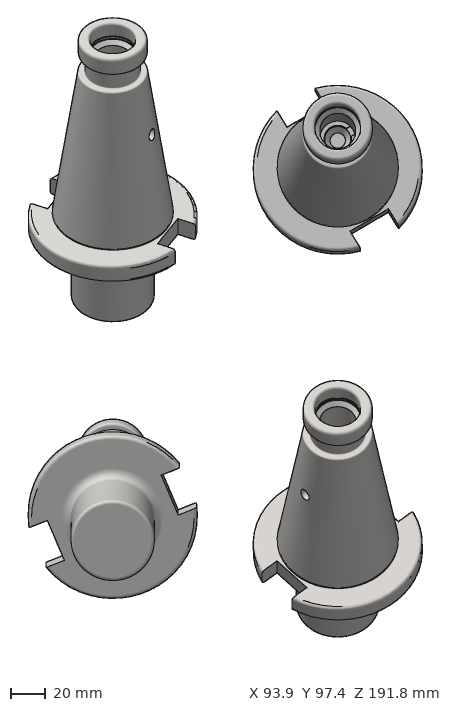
import cadquery as cq

total_height = 191.8
flange_bottom = 50.0
flange_top = 61.8
taper_bottom = 63.7
taper_top = 167.5
collar_bottom = 180.3

nose_radius = 24.0
flange_radius = 48.7
taper_big_radius = 35.0
taper_small_radius = 20.1
neck_radius = 16.1
collar_radius = 20.0

relief_radius = 34.3
relief_height = 1.3

edge_round = 2.0
collar_lower_round = 1.5
nose_root_round = 5.4
taper_top_round = 1.0
neck_root_round = 0.5
relief_root_round = 0.5

drive_slot_width = 25.7
drive_slot_floor = 35.5

side_hole_diameter = 7.0
side_hole_height = 129.7
side_hole_depth = 9.5

bore_radius = 13.2
bore_mouth_round = 1.5
bore_depth = 9.5
undercut_radius = 13.8
undercut_depth = 11.5
threaded_radius = 10.4
threaded_start_depth = 13.8
threaded_depth = 38.4

recess_mouth_radius = 7.9
recess_mouth_depth = 0.5
recess_wall_radius = 7.5
recess_wall_depth = 1.5
recess_middle_radius = 6.3
recess_floor_radius = 4.5
recess_depth = 5.8
screw_slot_width = 5.4
screw_slot_depth = 1.0


def revolve_profile(profile):
    """Close a half profile drawn in the YZ plane and spin it about Z."""
    return profile.close().revolve(360, (0, 0, 0), (0, 1, 0))


def outer_body():
    """Nose, flange, taper, neck and collar as one turned solid."""
    profile = (
        cq.Workplane("YZ")
        .lineTo(nose_radius, 0)
        .lineTo(nose_radius, flange_bottom)
        .lineTo(flange_radius, flange_bottom)
        .lineTo(flange_radius, flange_top)
        .lineTo(relief_radius, flange_top)
        .lineTo(relief_radius, flange_top + relief_height)
        .lineTo(taper_big_radius, flange_top + relief_height)
        .lineTo(taper_big_radius, taper_bottom)
        .lineTo(taper_small_radius, taper_top)
        .lineTo(neck_radius, taper_top)
        .lineTo(neck_radius, collar_bottom)
        .lineTo(collar_radius, collar_bottom)
        .lineTo(collar_radius, total_height)
        .lineTo(0, total_height)
    )
    return revolve_profile(profile)


def round_circle(body, radius, height, rounding):
    """Round the circular edge of the given radius that lies at the given height."""
    tolerance = 0.02
    edges = [
        edge
        for edge in body.edges("%CIRCLE").vals()
        if abs(edge.Center().z - height) < tolerance and abs(edge.radius() - radius) < tolerance
    ]
    return body.newObject(edges).fillet(rounding)


def round_outer_edges(body):
    for radius, height, rounding in (
        (nose_radius, 0, edge_round),
        (nose_radius, flange_bottom, nose_root_round),
        (flange_radius, flange_bottom, edge_round),
        (flange_radius, flange_top, edge_round),
        (relief_radius, flange_top, relief_root_round),
        (taper_small_radius, taper_top, taper_top_round),
        (neck_radius, taper_top, neck_root_round),
        (neck_radius, collar_bottom, neck_root_round),
        (collar_radius, collar_bottom, collar_lower_round),
        (collar_radius, total_height, edge_round),
    ):
        body = round_circle(body, radius, height, rounding)
    return body


def drive_slots():
    """Two blocks that notch the full flange thickness on the +X and -X sides."""
    slot_length = flange_radius - drive_slot_floor
    return (
        cq.Workplane("XY", origin=(0, 0, flange_bottom))
        .pushPoints([(side * (drive_slot_floor + slot_length / 2), 0) for side in (-1, 1)])
        .rect(slot_length, drive_slot_width)
        .extrude(flange_top - flange_bottom)
    )


def side_hole():
    """Radial drilling that enters the taper on +X, sunk below the cone surface at its own height."""
    taper_fraction = (side_hole_height - taper_bottom) / (taper_top - taper_bottom)
    surface_radius = taper_big_radius + taper_fraction * (taper_small_radius - taper_big_radius)
    return (
        cq.Workplane("YZ", origin=(surface_radius - side_hole_depth, 0, side_hole_height))
        .circle(side_hole_diameter / 2)
        .extrude(side_hole_depth + side_hole_diameter)
    )


def bore():
    """Bore, undercut, cone and threaded hole, ending in the conical screw recess."""
    threaded_floor = total_height - threaded_depth
    recess_floor = threaded_floor - recess_depth
    profile = (
        cq.Workplane("YZ")
        .moveTo(0, total_height)
        .lineTo(bore_radius, total_height)
        .lineTo(bore_radius, total_height - bore_depth)
        .lineTo(undercut_radius, total_height - bore_depth)
        .lineTo(undercut_radius, total_height - undercut_depth)
        .lineTo(bore_radius, total_height - undercut_depth)
        .lineTo(threaded_radius, total_height - threaded_start_depth)
        .lineTo(threaded_radius, threaded_floor)
        .lineTo(recess_mouth_radius, threaded_floor)
        .lineTo(recess_wall_radius, threaded_floor - recess_mouth_depth)
        .lineTo(recess_wall_radius, threaded_floor - recess_wall_depth)
        .lineTo(recess_middle_radius, (threaded_floor + recess_floor) / 2)
        .lineTo(recess_floor_radius, recess_floor)
        .lineTo(0, recess_floor)
    )
    return revolve_profile(profile)


def screw_slot():
    """Slot along Y across the ledge at the bottom of the threaded hole."""
    slot_floor = total_height - threaded_depth - screw_slot_depth
    bar = (
        cq.Workplane("XY", origin=(0, 0, slot_floor))
        .rect(screw_slot_width, 2 * threaded_radius)
        .extrude(screw_slot_depth)
    )
    hole = cq.Workplane("XY", origin=(0, 0, slot_floor)).circle(threaded_radius).extrude(screw_slot_depth)
    return bar.intersect(hole)


body = round_outer_edges(outer_body())
body = body.cut(bore()).cut(screw_slot())
body = round_circle(body, bore_radius, total_height, bore_mouth_round)
result = body.cut(drive_slots()).cut(side_hole())